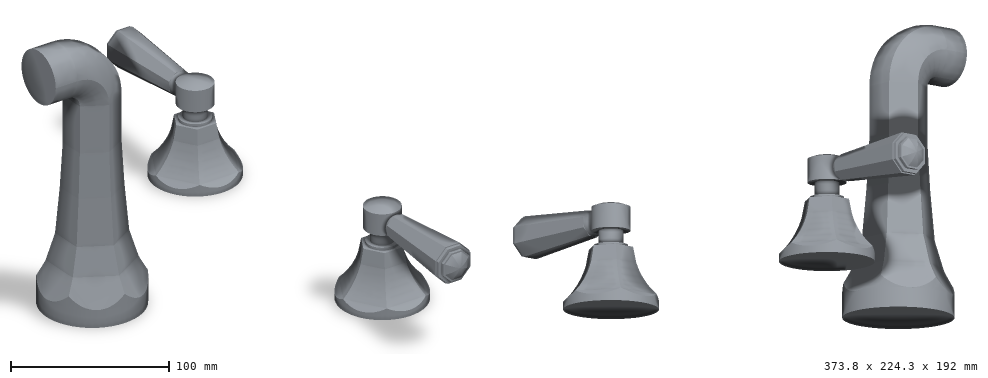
import cadquery as cq
import math

SPOUT_SIDES = 6
PLINTH_RADIUS = 35.5
PLINTH_HEIGHT = 12.7
OUTLET_RADIUS = 18.7
SPOUT_HEIGHT = 192.0
OUTLET_REACH = 41.5
BEND_START_HEIGHT = 148.8
TAPER_TOP = (18.7, 115.0)
TAPER_MIDDLE = (20.5, 83.5)
FLARE_TOP = (23.5, 50.5)
FLARE_MIDDLE = (29.5, 31.5)
FLARE_CORNER = (PLINTH_RADIUS, 21.0)

OVERALL_LENGTH = 373.8
LEVER_REACH = 85.0
HANDLE_X = OVERALL_LENGTH / 2 - LEVER_REACH
HANDLE_Y = 152.5

BASE_SIDES = 6
BASE_RADIUS = 30.3
BASE_SHOULDER_HEIGHT = 8.2
BASE_RIM_HEIGHT = 4.5
BASE_WAIST = (14.5, 29.0)
BASE_FLARE_MIDDLE = (18.5, 19.5)
BASE_TOP = (12.7, 39.5)
COLLAR_RADIUS = 11.0
COLLAR_TOP = 41.5
STEM_RADIUS = 8.0
HUB_RADIUS = 12.5
HUB_BOTTOM = 51.0
HUB_TOP = 66.0
DOME_TOP = 68.8

LEVER_SIDES = 8
LEVER_HEIGHT = 58.0
LEVER_START = 17.0
LEVER_END = 76.5
LEVER_START_APOTHEM = 8.2
LEVER_END_APOTHEM = 13.0
NECK_RADIUS = 5.0
NECK_SWELL = (7.5, 14.2)
CAP_RING_APOTHEM = 12.5
CAP_RING_END = 79.0
CAP_STEP_APOTHEM = 10.0
CAP_STEP_END = 81.0
CAP_DOME_APOTHEM = 9.0
CAP_DOME_MIDDLE = (5.5, 83.5)


def flat_ratio(sides):
    """Flat-to-centre distance of a regular polygon with a corner radius of 1."""
    return math.cos(math.pi / sides)


def ring_points(radius, count):
    """Points spaced evenly on a circle, the first one on the local X axis."""
    step = 2 * math.pi / count
    return [(radius * math.cos(i * step), radius * math.sin(i * step)) for i in range(count)]


def split_circle(plane, radius, count):
    """Circle made of equal arcs that meet where a polygon would have its corners."""
    points = ring_points(radius, 2 * count)
    circle = plane.moveTo(*points[0])
    for i in range(count):
        end = points[(2 * i + 2) % (2 * count)]
        circle = circle.threePointArc(points[2 * i + 1], end)
    return circle.close()


def faceted_solid(half_outline, half_depth, sides, first_flat_angle):
    """Solid of even-sided polygon section whose flats all follow one closed half outline (distance, z)."""
    slab = half_outline.mirrorY().extrude(half_depth, both=True)
    solid = None
    for i in range(sides // 2):
        turned = slab.rotate((0, 0, 0), (0, 0, 1), first_flat_angle + i * 360 / sides)
        solid = turned if solid is None else solid.intersect(turned)
    return solid


def spout_column():
    ratio = flat_ratio(SPOUT_SIDES)

    def flat(station):
        return (station[0] * ratio, station[1])

    half_outline = (
        cq.Workplane("XZ")
        .moveTo(0, BEND_START_HEIGHT)
        .lineTo(OUTLET_RADIUS * ratio, BEND_START_HEIGHT)
        .lineTo(*flat(TAPER_TOP))
        .lineTo(*flat(TAPER_MIDDLE))
        .lineTo(*flat(FLARE_TOP))
        .lineTo(*flat(FLARE_MIDDLE))
        .threePointArc(flat(FLARE_CORNER), (PLINTH_RADIUS, PLINTH_HEIGHT))
        .lineTo(0, PLINTH_HEIGHT)
    )
    column = faceted_solid(half_outline, 2 * PLINTH_RADIUS, SPOUT_SIDES, 180 / SPOUT_SIDES)
    return column.intersect(cq.Workplane("XY").circle(PLINTH_RADIUS).extrude(SPOUT_HEIGHT))


def spout_bend():
    """Quarter bend that changes from the six-sided column to the round outlet."""
    bend_radius = SPOUT_HEIGHT - OUTLET_RADIUS - BEND_START_HEIGHT
    outlet_height = SPOUT_HEIGHT - OUTLET_RADIUS
    middle = bend_radius * math.sqrt(0.5)
    path = cq.Edge.makeThreePointArc(
        cq.Vector(0, 0, BEND_START_HEIGHT),
        cq.Vector(0, middle - bend_radius, BEND_START_HEIGHT + middle),
        cq.Vector(0, -bend_radius, outlet_height),
    )
    column_end = cq.Workplane("XY", origin=(0, 0, BEND_START_HEIGHT))
    hexagon = column_end.polyline(ring_points(OUTLET_RADIUS, SPOUT_SIDES)).close()
    outlet = cq.Workplane("XZ", origin=(0, -bend_radius, outlet_height))
    circle = split_circle(outlet, OUTLET_RADIUS, SPOUT_SIDES)
    bend = cq.Solid.sweep_multi([hexagon.val(), circle.val()], cq.Wire.assembleEdges([path]))
    nozzle = (
        cq.Workplane(bend)
        .faces("<Y")
        .wires()
        .toPending()
        .workplane()
        .extrude(OUTLET_REACH - bend_radius, combine=False)
    )
    return cq.Workplane(bend).union(nozzle, clean=False)


def make_spout():
    plinth = cq.Workplane("XY").circle(PLINTH_RADIUS).extrude(PLINTH_HEIGHT)
    return spout_bend().union(spout_column(), clean=False).union(plinth, clean=False)


def handle_base():
    shoulder_flat = BASE_RADIUS * flat_ratio(BASE_SIDES)
    half_outline = (
        cq.Workplane("XZ")
        .lineTo(BASE_RADIUS, 0)
        .lineTo(BASE_RADIUS, BASE_RIM_HEIGHT)
        .lineTo(shoulder_flat, BASE_SHOULDER_HEIGHT)
        .threePointArc(BASE_FLARE_MIDDLE, BASE_WAIST)
        .lineTo(*BASE_TOP)
        .lineTo(0, BASE_TOP[1])
    )
    base = faceted_solid(half_outline, 2 * BASE_RADIUS, BASE_SIDES, 0)
    return base.intersect(cq.Workplane("XY").circle(BASE_RADIUS).extrude(BASE_TOP[1]))


def handle_hub():
    """Collar, stem and domed hub turned about the handle axis."""
    rise = DOME_TOP - HUB_TOP
    dome_radius = (HUB_RADIUS**2 + rise**2) / (2 * rise)
    half_angle = math.asin(HUB_RADIUS / dome_radius) / 2
    dome_middle = (
        dome_radius * math.sin(half_angle),
        DOME_TOP - dome_radius * (1 - math.cos(half_angle)),
    )
    return (
        cq.Workplane("XZ")
        .moveTo(0, BASE_TOP[1])
        .lineTo(COLLAR_RADIUS, BASE_TOP[1])
        .lineTo(COLLAR_RADIUS, COLLAR_TOP)
        .lineTo(STEM_RADIUS, COLLAR_TOP)
        .lineTo(STEM_RADIUS, HUB_BOTTOM)
        .lineTo(HUB_RADIUS, HUB_BOTTOM)
        .lineTo(HUB_RADIUS, HUB_TOP)
        .threePointArc(dome_middle, (0, DOME_TOP))
        .close()
        .revolve(360, (0, 0), (0, 1))
    )


def handle_lever():
    """Eight-sided grip with a round neck and a stepped, domed cap, built upright and then laid along +X."""
    half_outline = (
        cq.Workplane("XZ")
        .moveTo(0, LEVER_START)
        .lineTo(LEVER_START_APOTHEM, LEVER_START)
        .lineTo(LEVER_END_APOTHEM, LEVER_END)
        .lineTo(CAP_RING_APOTHEM, LEVER_END)
        .lineTo(CAP_RING_APOTHEM, CAP_RING_END)
        .lineTo(CAP_STEP_APOTHEM, CAP_RING_END)
        .lineTo(CAP_STEP_APOTHEM, CAP_STEP_END)
        .lineTo(CAP_DOME_APOTHEM, CAP_STEP_END)
        .threePointArc(CAP_DOME_MIDDLE, (0, LEVER_REACH))
    )
    grip = faceted_solid(half_outline, 2 * LEVER_END_APOTHEM, LEVER_SIDES, 0)
    neck = (
        cq.Workplane("XZ")
        .lineTo(NECK_RADIUS, 0)
        .lineTo(NECK_RADIUS, HUB_RADIUS)
        .threePointArc(NECK_SWELL, (LEVER_START_APOTHEM, LEVER_START))
        .lineTo(0, LEVER_START)
        .close()
        .revolve(360, (0, 0), (0, 1))
    )
    return grip.union(neck).rotate((0, 0, 0), (0, 1, 0), 90).translate((0, 0, LEVER_HEIGHT))


def make_handle(side):
    """One handle; side is +1 for the +X handle and -1 for the -X handle."""
    handle = handle_base().union(handle_hub()).union(handle_lever())
    if side < 0:
        handle = handle.mirror("YZ")
    return handle.translate((side * HANDLE_X, HANDLE_Y, 0))


spout = make_spout()
handles = [make_handle(side) for side in (-1, 1)]

result = cq.Compound.makeCompound([spout.val(), *[handle.val() for handle in handles]])